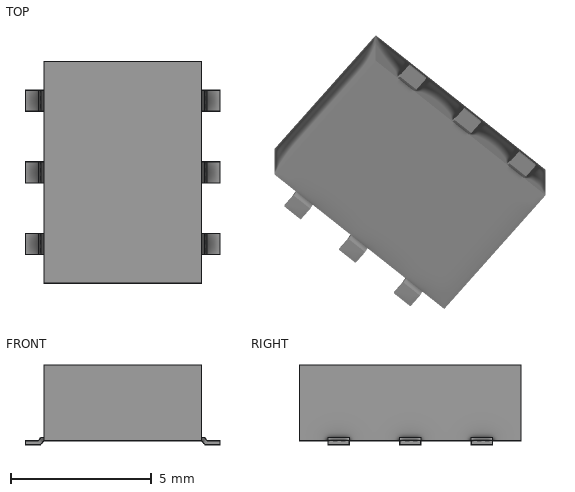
import cadquery as cq

housing_width = 5.59
housing_length = 7.87
overall_height = 2.84
standoff = 0.14
housing_height = overall_height - standoff

overall_width = 6.91
lead_pitch = 2.54
leads_per_side = 3
lead_width = 0.76
lead_thickness = 0.15
lead_top = 0.265
shelf_length = 0.11
top_slope_length = 0.09
bottom_slope_length = 0.13


def make_housing():
    return (
        cq.Workplane("XY")
        .workplane(offset=standoff)
        .box(housing_width, housing_length, housing_height, centered=(True, True, False))
    )


def make_lead(side, y_center):
    """One lead; side is +1 for the +X row and -1 for the -X row."""
    root_x = housing_width / 2
    tip_x = overall_width / 2
    shelf_end_x = root_x + shelf_length
    profile = [
        (root_x, standoff),
        (root_x, lead_top),
        (shelf_end_x, lead_top),
        (shelf_end_x + top_slope_length, lead_thickness),
        (tip_x, lead_thickness),
        (tip_x, 0),
        (root_x + bottom_slope_length, 0),
    ]
    return (
        cq.Workplane("XZ", origin=(0, y_center, 0))
        .polyline([(side * x, z) for x, z in profile])
        .close()
        .extrude(lead_width / 2, both=True)
    )


housing = make_housing()

leads = []
for side in (-1, 1):
    for index in range(leads_per_side):
        y_center = (index - (leads_per_side - 1) / 2) * lead_pitch
        leads.append(make_lead(side, y_center))

result = cq.Compound.makeCompound([housing.val(), *[lead.val() for lead in leads]])